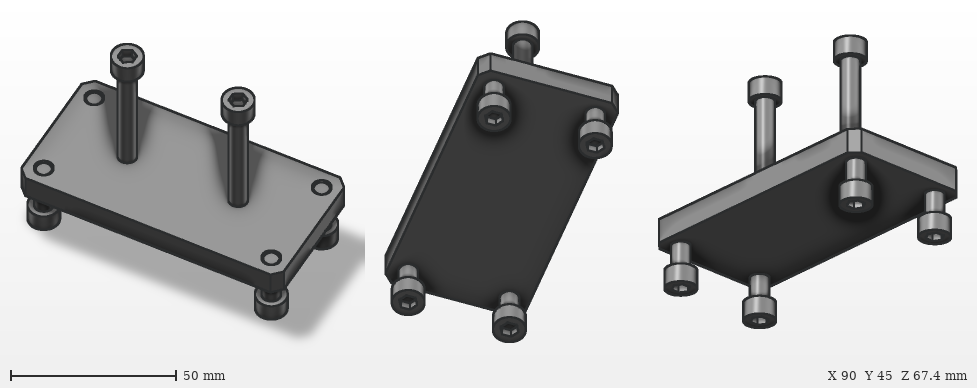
import cadquery as cq
import math

plate_length = 90.0
plate_width = 45.0
plate_thickness = 8.0
corner_chamfer = 3.0

shank_diameter = 6.0
tip_diameter = 4.92
head_diameter = 10.0
head_height = 6.0
socket_across_flats = 5.0
socket_depth = 3.0

long_screw_length = 45.0
long_screw_exposed = 39.0
long_screw_spacing = 38.0

short_screw_length = 16.0
short_screw_exposed = 8.4
short_screw_spacing_x = 78.0
short_screw_spacing_y = 32.5

countersink_diameter = 6.0
countersink_floor_diameter = 4.92

tip_chamfer = (shank_diameter - tip_diameter) / 2
countersink_depth = (countersink_diameter - countersink_floor_diameter) / 2
long_screw_places = [(side * long_screw_spacing / 2, 0) for side in (-1, 1)]
short_screw_places = [
    (side_x * short_screw_spacing_x / 2, side_y * short_screw_spacing_y / 2)
    for side_x in (-1, 1)
    for side_y in (-1, 1)
]


def make_plate():
    """Flat plate with its four upright corners cut off."""
    plate = cq.Workplane("XY").box(
        plate_length, plate_width, plate_thickness, centered=(True, True, False)
    )
    return plate.edges("|Z").chamfer(corner_chamfer)


def make_screw(length):
    """Cap screw along Z: head standing on Z = 0, shank below with a chamfered tip at Z = -length."""
    shank = cq.Workplane("XY").circle(shank_diameter / 2).extrude(-length)
    shank = shank.faces("<Z").chamfer(tip_chamfer)
    head = cq.Workplane("XY").circle(head_diameter / 2).extrude(head_height)
    across_corners = socket_across_flats / math.cos(math.radians(30))
    socket = (
        cq.Workplane("XY")
        .workplane(offset=head_height)
        .transformed(rotate=(0, 0, 90))
        .polygon(6, across_corners)
        .extrude(-socket_depth)
    )
    return head.union(shank).cut(socket)


def make_countersink():
    """Cone frustum with its wide end on Z = 0, narrowing downward to a flat floor."""
    return (
        cq.Workplane("XY")
        .circle(countersink_diameter / 2)
        .workplane(offset=-countersink_depth)
        .circle(countersink_floor_diameter / 2)
        .loft(ruled=True)
    )


result = make_plate()

long_screw = make_screw(long_screw_length)
for x, y in long_screw_places:
    result = result.union(long_screw.translate((x, y, plate_thickness + long_screw_exposed)))

short_screw = make_screw(short_screw_length).rotate((0, 0, 0), (1, 0, 0), 180)
countersink = make_countersink()
for x, y in short_screw_places:
    result = result.cut(countersink.translate((x, y, plate_thickness)))
    result = result.union(short_screw.translate((x, y, -short_screw_exposed)))